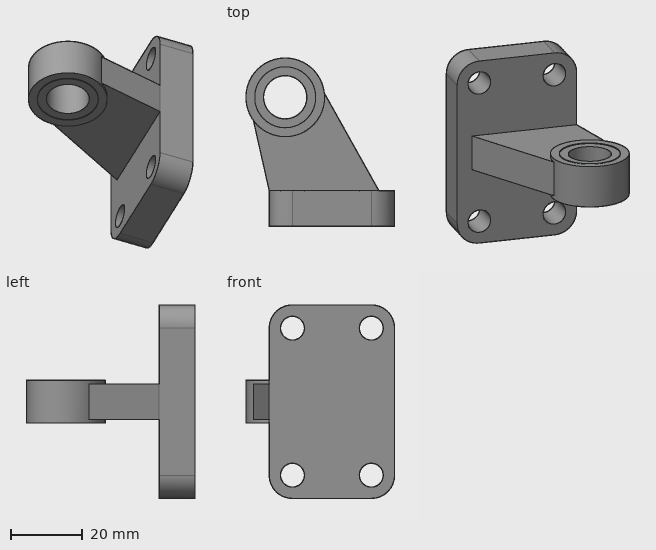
import cadquery as cq
import math

plate_width = 35.0
plate_height = 54.0
plate_thickness = 10.0
corner_radius = 6.5
bolt_hole_diameter = 6.6
bolt_spacing_x = 22.0
bolt_spacing_z = 41.0

boss_diameter = 22.0
boss_height = 12.0
bushing_diameter = 17.0
bushing_recess = 0.2
bore_diameter = 12.0
boss_x = -13.0
boss_y = 36.0

arm_thickness = 10.0
arm_base_width = 30.6
arm_end_radius = 10.1


def pivot_cylinder(diameter, height, base_z):
    """Cylinder on the pivot axis, rising from base_z."""
    return (
        cq.Workplane("XY", origin=(boss_x, boss_y, base_z))
        .circle(diameter / 2)
        .extrude(height)
    )


def tangent_point(start_x, start_y, side):
    """Where a line from the start touches the arm end circle; side +1 is right, -1 is left."""
    distance = math.hypot(start_x - boss_x, start_y - boss_y)
    toward_start = math.atan2(start_y - boss_y, start_x - boss_x)
    angle = toward_start + side * math.acos(arm_end_radius / distance)
    return (
        boss_x + arm_end_radius * math.cos(angle),
        boss_y + arm_end_radius * math.sin(angle),
    )


def make_plate():
    """Rounded plate with a bolt hole in each corner."""
    return (
        cq.Workplane("XZ")
        .rect(plate_width, plate_height)
        .extrude(-plate_thickness)
        .edges("|Y")
        .fillet(corner_radius)
        .faces("<Y")
        .workplane(centerOption="CenterOfBoundBox")
        .rect(bolt_spacing_x, bolt_spacing_z, forConstruction=True)
        .vertices()
        .hole(bolt_hole_diameter)
    )


def make_arm():
    """Tapered web from the back of the plate to the pivot."""
    base_left = (-plate_width / 2, plate_thickness)
    base_right = (base_left[0] + arm_base_width, plate_thickness)
    return (
        cq.Workplane("XY", origin=(0, 0, -arm_thickness / 2))
        .moveTo(*base_left)
        .lineTo(*base_right)
        .lineTo(*tangent_point(*base_right, 1))
        .lineTo(*tangent_point(*base_left, -1))
        .close()
        .extrude(arm_thickness)
    )


boss = pivot_cylinder(boss_diameter, boss_height, -boss_height / 2)
result = make_plate().union(make_arm()).union(boss)

for recess_base_z in (-boss_height / 2, boss_height / 2 - bushing_recess):
    result = result.cut(pivot_cylinder(bushing_diameter, bushing_recess, recess_base_z))
result = result.cut(pivot_cylinder(bore_diameter, boss_height, -boss_height / 2))